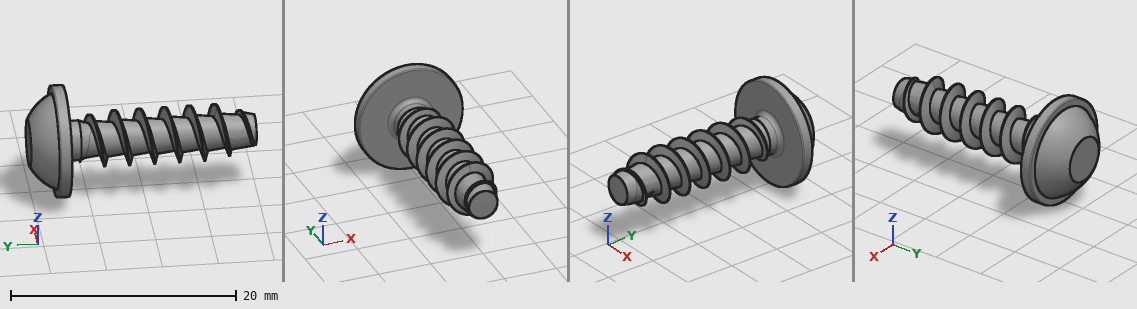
import cadquery as cq
import math


overall_length = 20.3

flange_radius = 5.0
flange_thickness = 1.07
rim_rounding = 0.1
head_height = 3.32
dome_base_radius = 4.3
dome_middle_radius = 3.38
dome_middle_height = 2.38
dome_top_radius = 2.13

shank_length = overall_length - head_height
tip_cone_height = 0.03
neck_radius = 1.77
neck_fillet = 0.43
neck_end = 1.22
core_radius = 1.4
neck_blend_end = 2.9
tip_cone_start = 15.3
tip_radius = 1.38
tip_bevel_width = 0.1
tip_bevel_height = 0.03
tip_face_depth = shank_length - tip_cone_height
tip_edge_depth = tip_face_depth - tip_bevel_height

pitch = 2.24
crest_radius = 2.5
crest_width = 0.09
root_width = 0.79
profile_height = 1.25
axis_crossing_depth = 4.09
full_turns = 4.5
run_in_turns = 1.25
run_in_drop_per_turn = 0.5
run_out_turns = 1.25
run_out_drop_per_turn = 0.76
full_thread_start = axis_crossing_depth - pitch / 4
full_thread_end = full_thread_start + full_turns * pitch
run_in_end = full_thread_start - run_in_turns * pitch
run_out_end = full_thread_end + run_out_turns * pitch

land_upper_radius = 1.66
land_lower_radius = 1.43
land_inner_radius = 1.2
land_end_clearance = 0.13
land_start = full_thread_start - 1.5 * pitch
land_end = run_out_end + pitch / 2

spline_points_per_turn = 16


def helix_edge(start_depth, end_depth, offset, start_radius, end_radius):
    """Right-handed helix; start and end depths are measured on the crest line."""
    turns = (end_depth - start_depth) / pitch
    steps = math.ceil(turns * spline_points_per_turn)
    points = []
    for step in range(steps + 1):
        share = step / steps
        crest_depth = start_depth + share * (end_depth - start_depth)
        angle = 2 * math.pi * (crest_depth - axis_crossing_depth) / pitch
        radius = start_radius + share * (end_radius - start_radius)
        points.append(cq.Vector(radius * math.cos(angle), -crest_depth - offset, radius * math.sin(angle)))
    return cq.Edge.makeSpline(points)


def helical_solid(stations, profile):
    """Sweep a profile of (radius, depth offset) corners along (depth, radius change) stations."""
    faces = []
    for (start_depth, start_change), (end_depth, end_change) in zip(stations, stations[1:]):
        edges = [
            helix_edge(start_depth, end_depth, offset, radius + start_change, radius + end_change)
            for radius, offset in profile
        ]
        if not faces:
            first_corners = [edge.startPoint() for edge in edges]
        last_corners = [edge.endPoint() for edge in edges]
        neighbours = edges[1:] + edges[:1]
        faces += [cq.Face.makeRuledSurface(edge, neighbour) for edge, neighbour in zip(edges, neighbours)]
    for corners in (first_corners, last_corners):
        faces.append(cq.Face.makeFromWires(cq.Wire.makePolygon(corners, close=True)))
    solid = cq.Solid.makeSolid(cq.Shell.makeShell(faces))
    return cq.Workplane(obj=solid.fix())


def make_head():
    """Flat-topped dome on a flange with rounded rims."""
    flange = cq.Workplane("XZ").circle(flange_radius).extrude(-flange_thickness)
    flange = flange.edges().fillet(rim_rounding)
    dome = (
        cq.Workplane("XY")
        .lineTo(0, head_height)
        .lineTo(dome_top_radius, head_height)
        .threePointArc((dome_middle_radius, dome_middle_height), (dome_base_radius, flange_thickness))
        .lineTo(dome_base_radius, flange_thickness / 2)
        .lineTo(0, flange_thickness / 2)
        .close()
        .revolve(360, (0, 0, 0), (0, 1, 0))
    )
    return flange.union(dome)


def make_shank():
    """Neck filleted into the flange, core, and blunt tip with a shallow cone."""
    blend_drop = neck_radius - core_radius
    blend_length = neck_blend_end - neck_end
    neck_blend_radius = (blend_length**2 + blend_drop**2) / (2 * blend_drop)
    return (
        cq.Workplane("XY")
        .moveTo(0, flange_thickness / 2)
        .lineTo(neck_radius + neck_fillet, flange_thickness / 2)
        .lineTo(neck_radius + neck_fillet, 0)
        .radiusArc((neck_radius, -neck_fillet), -neck_fillet)
        .lineTo(neck_radius, -neck_end)
        .radiusArc((core_radius, -neck_blend_end), -neck_blend_radius)
        .lineTo(core_radius, -tip_cone_start)
        .lineTo(tip_radius, -tip_edge_depth)
        .lineTo(tip_radius - tip_bevel_width, -tip_face_depth)
        .lineTo(0, -shank_length)
        .close()
        .revolve(360, (0, 0, 0), (0, 1, 0))
    )


def make_thread():
    """Run-in, full thread and run-out, trimmed flat at the end of the neck."""
    profile = [
        (crest_radius - profile_height, -root_width / 2),
        (crest_radius, -crest_width / 2),
        (crest_radius, crest_width / 2),
        (crest_radius - profile_height, root_width / 2),
    ]
    stations = [
        (run_in_end, -run_in_drop_per_turn * run_in_turns),
        (full_thread_start, 0),
        (full_thread_end, 0),
        (run_out_end, -run_out_drop_per_turn * run_out_turns),
    ]
    above_neck_end = cq.Workplane("XZ", origin=(0, -neck_end, 0)).circle(flange_radius).extrude(-head_height)
    return helical_solid(stations, profile).cut(above_neck_end)


def make_land():
    """Tapering helical band between the turns, kept inside the neck and the tip cone."""
    profile = [
        (land_inner_radius, land_end_clearance),
        (land_upper_radius, land_end_clearance),
        (land_lower_radius, pitch - land_end_clearance),
        (land_inner_radius, pitch - land_end_clearance),
    ]
    land = helical_solid([(land_start, 0), (land_end, 0)], profile)
    envelope = (
        cq.Workplane("XY")
        .lineTo(neck_radius, 0)
        .lineTo(neck_radius, -tip_cone_start)
        .lineTo(tip_radius, -tip_edge_depth)
        .lineTo(0, -tip_edge_depth)
        .close()
        .revolve(360, (0, 0, 0), (0, 1, 0))
    )
    return land.intersect(envelope)


result = make_shank().union(make_thread()).union(make_land()).union(make_head())